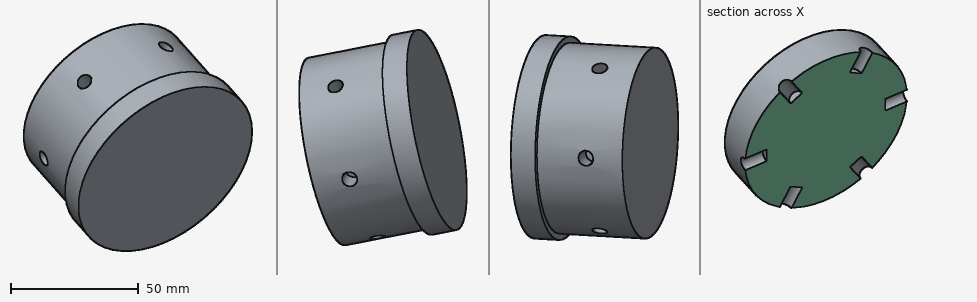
import cadquery as cq

total_length = 45.0
flange_diameter = 80.0
flange_thickness = 10.0
body_diameter = 75.0
hole_count = 6
hole_diameter = 6.0
hole_depth = 10.0
hole_offset = 15.0

body_radius = body_diameter / 2
hole_floor_radius = body_radius - hole_depth


def disc(diameter, start_x, length):
    """Solid cylinder along +X, starting at start_x."""
    return cq.Workplane("YZ", origin=(start_x, 0, 0)).circle(diameter / 2).extrude(length)


def radial_hole(angle):
    """Cutter for one flat-bottomed hole, turned about X from the +Y direction."""
    cutter_length = flange_diameter / 2 - hole_floor_radius
    cutter = cq.Solid.makeCylinder(
        hole_diameter / 2,
        cutter_length,
        cq.Vector(hole_offset, hole_floor_radius, 0),
        cq.Vector(0, 1, 0),
    )
    return cutter.rotate(cq.Vector(0, 0, 0), cq.Vector(1, 0, 0), angle)


body = disc(body_diameter, 0, total_length)
flange = disc(flange_diameter, total_length - flange_thickness, flange_thickness)
result = body.union(flange)

for index in range(hole_count):
    result = result.cut(cq.Workplane(obj=radial_hole(index * 360 / hole_count)))